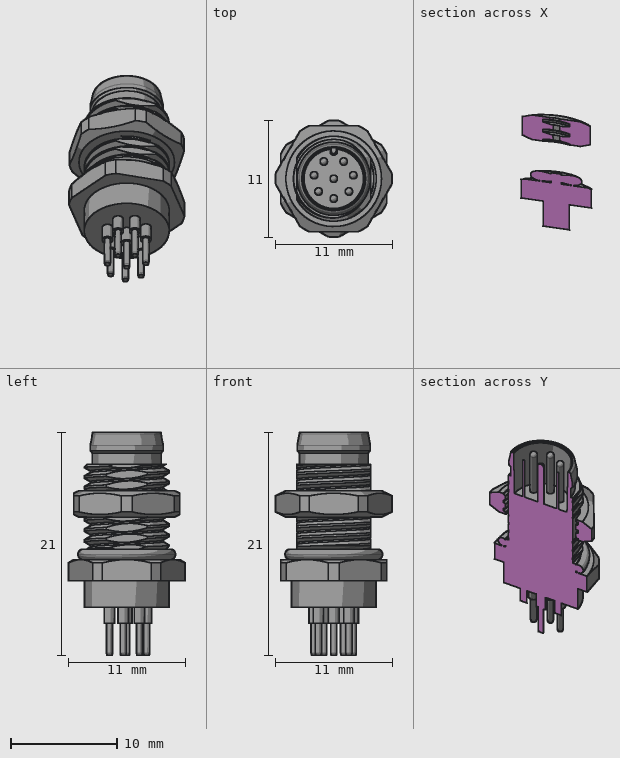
import cadquery as cq
import math

z_collar = 3.0
z_body = 4.5
z_flange = 7.0
z_seat = 9.0
z_thread = 10.0
z_nut = 13.0
z_nut_top = 15.5
z_thread_top = 18.0
z_neck_top = 19.03
z_top = 21.0
z_floor = 16.0

hex_flats = 10.0
hex_corners = 11.0
nut_bevel = (1.0, 0.5)
flange_bevel = (0.5, 0.3)

body_radius = 4.0
ring_radius = 4.1
ring_section = (z_thread - z_seat) / 2
ring_groove_radius = 3.8

pitch = 1.0
crest_radius = 4.0
root_radius = 3.45
crest_width = 0.2
flank_angle = 30.0
thread_bevel = 0.3
flat_half_width = 3.5
crest_height_at_x = 0.52
nut_bore_radius = 3.77

neck_radius = 3.25
head_radius = 3.45
barb_height = 0.24
band_height = 0.5
rim_radius = 3.25
rim_round = 0.15
socket_radius = 2.9
socket_floor_radius = 2.8
socket_bevel = 0.1

key_radius = 0.35
key_centre_y = 2.57
key_bevel = 0.13
key_drop = 0.1

contact_circle_radius = 1.87
contact_spacing = 50.0
contact_count_on_circle = 7
first_contact_angle = -90.0 - contact_spacing * (contact_count_on_circle // 2)
contact_radius = 0.35
contact_drop = 0.25
collar_radius = 0.5
tail_radius = 0.3
tail_bevel = (0.05, 0.22)


def cylinder(radius, z_low, z_high):
    return cq.Workplane("XY").workplane(offset=z_low).circle(radius).extrude(z_high - z_low)


def revolve_profile(points):
    """Turn an (r, z) outline around the Z axis."""
    return cq.Workplane("XZ").polyline(points).close().revolve(360, (0, 0), (0, 1))


def hexagon(z_low, z_high, turn, bevel, bevel_below):
    """Hexagon with turned-down corners and conical bevels."""
    circumscribed = hex_flats / math.cos(math.radians(30))
    prism = (
        cq.Workplane("XY").workplane(offset=z_low)
        .polygon(6, circumscribed).extrude(z_high - z_low)
        .rotate((0, 0, 0), (0, 0, 1), turn)
    )
    outer = hex_corners / 2
    bevel_radial, bevel_height = bevel
    outline = [(0, z_high), (outer - bevel_radial, z_high), (outer, z_high - bevel_height)]
    if bevel_below:
        outline += [(outer, z_low + bevel_height), (outer - bevel_radial, z_low)]
    else:
        outline += [(outer, z_low)]
    outline += [(0, z_low)]
    return prism.intersect(revolve_profile(outline))


def make_thread():
    """Round right-hand thread, bevelled at both ends."""
    inner_radius = root_radius - 0.1
    depth = crest_radius - inner_radius
    half_crest = crest_width / 2
    half_base = half_crest + depth * math.tan(math.radians(flank_angle))
    z_start = z_thread - 2 * pitch + crest_height_at_x
    length = z_thread_top - z_thread + 3 * pitch
    helix = cq.Wire.makeHelix(pitch, length, inner_radius).translate(cq.Vector(0, 0, z_start))
    ridge = (
        cq.Workplane("XZ")
        .polyline([
            (inner_radius, z_start - half_base),
            (crest_radius, z_start - half_crest),
            (crest_radius, z_start + half_crest),
            (inner_radius, z_start + half_base),
        ])
        .close()
        .sweep(cq.Workplane(obj=helix), isFrenet=True)
    )
    blank = cylinder(root_radius, z_start - pitch, z_start + length + pitch)
    end_radius = crest_radius - thread_bevel
    beyond = crest_radius + thread_bevel
    envelope = revolve_profile([
        (0, z_thread),
        (end_radius, z_thread),
        (beyond, z_thread + 2 * thread_bevel),
        (beyond, z_thread_top - 2 * thread_bevel),
        (end_radius, z_thread_top),
        (0, z_thread_top),
    ])
    return blank.union(ridge).intersect(envelope)


def flat_slab():
    """Slab between the two flats of the threaded shaft."""
    return cq.Workplane("XY").box(
        2 * flat_half_width, 3 * crest_radius, z_top, centered=(True, True, False))


def make_nut_clearance(thread):
    """Open spaces beside the plug flats: the nut bore and the matching thread cut into it."""
    bore = cylinder(nut_bore_radius, z_nut, z_nut_top)
    thread_in_nut = thread.intersect(cylinder(hex_corners / 2, z_nut, z_nut_top))
    return bore.union(thread_in_nut).cut(flat_slab())


def make_rear():
    """Rear body, flange and sealing ring."""
    body = cylinder(body_radius, z_body, z_flange)
    flange = hexagon(z_flange, z_seat, 30, flange_bevel, False)
    groove = cylinder(ring_groove_radius, z_seat, z_thread)
    ring = (
        cq.Workplane("XZ").center(ring_radius, (z_seat + z_thread) / 2)
        .circle(ring_section).revolve(360, (-ring_radius, 0), (-ring_radius, 1))
    )
    return body.union(flange).union(groove.union(ring))


def make_head():
    """Snap-in neck and head."""
    z_band = z_neck_top + barb_height
    outline = (
        cq.Workplane("XZ")
        .moveTo(0, z_thread_top)
        .lineTo(neck_radius, z_thread_top)
        .lineTo(neck_radius, z_neck_top)
        .lineTo(head_radius, z_band)
        .lineTo(head_radius, z_band + band_height)
        .lineTo(rim_radius, z_top - rim_round)
        .radiusArc((rim_radius - rim_round, z_top), -rim_round)
        .lineTo(0, z_top)
        .close()
    )
    return outline.revolve(360, (0, 0), (0, 1))


def make_socket():
    """Hollow of the plug, slightly tapered and with a bevelled mouth."""
    return revolve_profile([
        (0, z_floor),
        (socket_floor_radius, z_floor),
        (socket_radius, z_top - socket_bevel),
        (socket_radius + socket_bevel, z_top),
        (0, z_top),
    ])


def make_key():
    """Coding key along the +Y wall of the socket."""
    wall_y = (socket_radius + rim_radius - rim_round) / 2
    z_key_top = z_top - key_drop
    key = (
        cq.Workplane("XY").workplane(offset=z_floor)
        .moveTo(-key_radius, wall_y)
        .lineTo(-key_radius, key_centre_y)
        .threePointArc((0, key_centre_y - key_radius), (key_radius, key_centre_y))
        .lineTo(key_radius, wall_y)
        .close()
        .extrude(z_key_top - z_floor)
    )
    return key.faces(">Z").edges("not >Y").chamfer(key_bevel)


def make_contact(x, y):
    """Domed contact in the socket, with an insulator collar and a tail at the rear."""
    z_tip = z_top - contact_drop
    bevel_radial, bevel_height = tail_bevel
    outline = (
        cq.Workplane("XZ")
        .moveTo(0, 0)
        .lineTo(tail_radius - bevel_radial, 0)
        .lineTo(tail_radius, bevel_height)
        .lineTo(tail_radius, z_collar)
        .lineTo(collar_radius, z_collar)
        .lineTo(collar_radius, z_flange)
        .lineTo(contact_radius, z_flange)
        .lineTo(contact_radius, z_tip - contact_radius)
        .radiusArc((0, z_tip), -contact_radius)
        .close()
    )
    return outline.revolve(360, (0, 0), (0, 1)).translate((x, y, 0))


def make_contacts():
    """Central contact and the ring of contacts around it, open on the key side."""
    contacts = make_contact(0, 0)
    for index in range(contact_count_on_circle):
        angle = math.radians(first_contact_angle + index * contact_spacing)
        x = contact_circle_radius * math.cos(angle)
        y = contact_circle_radius * math.sin(angle)
        contacts = contacts.add(make_contact(x, y))
    return contacts.combine()


round_thread = make_thread()
plug = make_rear().union(round_thread.intersect(flat_slab()))
plug = plug.union(hexagon(z_nut, z_nut_top, 0, nut_bevel, True))
plug = plug.cut(make_nut_clearance(round_thread))
plug = plug.union(make_head()).cut(make_socket()).union(make_key())
plug = plug.union(make_contacts())

result = plug